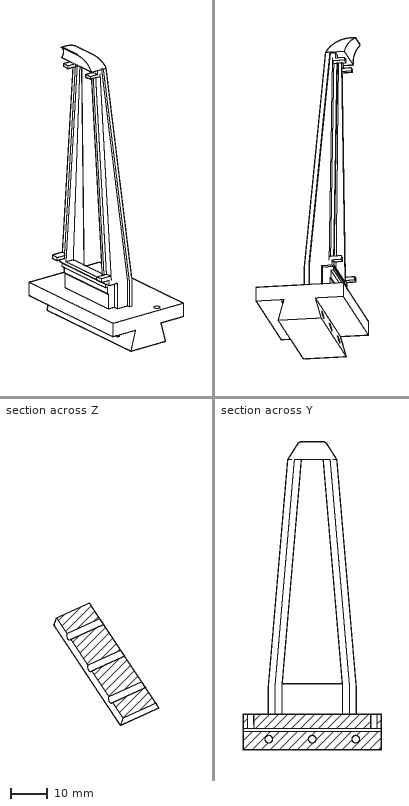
import cadquery as cq
import math

plate_length = 38.1
plate_depth = 24.4
plate_top = 9.8
dovetail_height = 5.85
dovetail_top_width = 8.8
dovetail_bottom_width = 12.0

cross_hole_diameter = 2.0
cross_hole_height = 3.0
cross_hole_pitch = 11.95
pin_hole_diameter = 1.7
pin_hole_x = 17.0
pin_hole_y = 4.6

foot_top = 17.4
arm_top = 79.9
lean_in = 5.3
lean_forward = 4.9
corner_lean_forward = 1.7

rib_outer_x = 12.1
rib_inner_x = 10.3
wall_outer_x = 11.3
wall_inner_x = 8.3
rib_back_y = 0.2
rib_depth = 1.4
rib_round = 1.0
shoulder_y = -4.75
corner_y = -5.1
arm_front_y = -7.6

rabbet_depth = 0.85
lip_width = 0.85
lower_pin_bottom = 18.9
upper_pin_top = 78.35
pin_thickness = 0.9
pin_tip_y = -10.2

panel_half_width = 9.8
panel_front_y = -6.8
band_front_y = -7.0
band_bottom = 14.25
ledge_front_y = -7.8
ledge_bottom = 16.4
sill_height = 0.85

cap_top = 84.8
cap_bottom_half_width = rib_outer_x - lean_in
cap_top_half_width = 3.65
cap_crest_y = -11.45
cap_tip_y = -12.7
cap_front_y = -10.3
tip_thickness = 0.25


def box_between(x_range, y_range, z_range):
    """Axis-aligned block given by its two limits along each axis."""
    size = [high - low for low, high in (x_range, y_range, z_range)]
    corner = (x_range[0], y_range[0], z_range[0])
    return cq.Workplane("XY").box(*size, centered=False).translate(corner)


def extrude_along_y(points, y_front, y_back):
    """Extrude an outline of (x, z) points from y_front to y_back."""
    plane = cq.Workplane("XZ", origin=(0, y_back, 0))
    return plane.polyline(points).close().extrude(y_back - y_front)


def make_base():
    plate = box_between(
        (-plate_length / 2, plate_length / 2),
        (-plate_depth / 2, plate_depth / 2),
        (dovetail_height, plate_top),
    )
    dovetail = (
        cq.Workplane("YZ", origin=(-plate_length / 2, 0, 0))
        .polyline([
            (-dovetail_bottom_width / 2, 0),
            (dovetail_bottom_width / 2, 0),
            (dovetail_top_width / 2, dovetail_height),
            (-dovetail_top_width / 2, dovetail_height),
        ])
        .close()
        .extrude(plate_length)
    )
    cross_holes = (
        cq.Workplane("XZ", origin=(0, plate_depth / 2, 0))
        .pushPoints([(i * cross_hole_pitch, cross_hole_height) for i in (-1, 0, 1)])
        .circle(cross_hole_diameter / 2)
        .extrude(plate_depth)
    )
    pin_holes = (
        cq.Workplane("XY", origin=(0, 0, dovetail_height))
        .pushPoints([(-pin_hole_x, pin_hole_y), (pin_hole_x, pin_hole_y)])
        .circle(pin_hole_diameter / 2)
        .extrude(plate_top - dovetail_height)
    )
    return plate.union(dovetail).cut(cross_holes).cut(pin_holes)


def arm_section(sketch, front_y, x_shift=0, rib_shift=0, corner_shift=0):
    """Arm outline on the +X side: a back rib rounded at its outer edge and a wall to front_y.

    The corner on the inner wall is left out when the wall stops at that corner.
    """
    back_y = rib_back_y - rib_shift
    rib_front_y = back_y - rib_depth
    outer_x = rib_outer_x - x_shift
    inner_x = wall_inner_x - x_shift
    round_x = outer_x - rib_round
    round_y = back_y - rib_round
    round_mid = rib_round * math.sqrt(0.5)
    outline = (
        sketch.moveTo(rib_inner_x - x_shift, back_y)
        .lineTo(round_x, back_y)
        .threePointArc((round_x + round_mid, round_y + round_mid), (outer_x, round_y))
        .lineTo(outer_x, rib_front_y)
        .lineTo(wall_outer_x - x_shift, rib_front_y)
        .lineTo(wall_outer_x - x_shift, front_y)
        .lineTo(inner_x, front_y)
    )
    if front_y < corner_y:
        outline = outline.lineTo(inner_x, corner_y - corner_shift)
    return outline.close()


def inward_lean(z):
    """Inward shift of the arm at height z."""
    return lean_in * (z - foot_top) / (arm_top - foot_top)


def rabbet_end(z_inner):
    """Inner and outer (x, z) ends of a rabbet shoulder square to the arm."""
    shift = inward_lean(z_inner)
    inner_x = wall_inner_x + lip_width - shift
    outer_x = wall_outer_x - shift
    rise = (outer_x - inner_x) * lean_in / (arm_top - foot_top)
    return (inner_x, z_inner), (outer_x, z_inner + rise)


def make_arm():
    foot_plane = cq.Workplane("XY", origin=(0, 0, plate_top))
    foot = arm_section(foot_plane, corner_y).extrude(foot_top - plate_top)
    foot = foot.cut(
        box_between((panel_half_width, wall_outer_x), (corner_y, shoulder_y), (plate_top, foot_top))
    )

    bottom_section = arm_section(cq.Workplane("XY", origin=(0, 0, foot_top)), arm_front_y)
    top_plane = bottom_section.workplane(offset=arm_top - foot_top)
    sections = arm_section(top_plane, arm_front_y, lean_in, lean_forward, corner_lean_forward)
    arm = sections.loft(ruled=True)

    low_inner, low_outer = rabbet_end(lower_pin_bottom + pin_thickness)
    high_inner, high_outer = rabbet_end(upper_pin_top - pin_thickness)
    floor_y = arm_front_y + rabbet_depth
    rabbet = extrude_along_y([low_inner, low_outer, high_outer, high_inner], arm_front_y, floor_y)
    arm = arm.cut(rabbet)

    for (inner, outer), flat_z in (
        ((low_inner, low_outer), lower_pin_bottom),
        ((high_inner, high_outer), upper_pin_top),
    ):
        shift = inward_lean(flat_z)
        flat_outer = (wall_outer_x - shift, flat_z)
        flat_inner = (wall_inner_x + lip_width - shift, flat_z)
        outline = [inner, outer, flat_outer, flat_inner]
        arm = arm.union(extrude_along_y(outline, pin_tip_y, floor_y))
    return foot.union(arm)


def make_panel():
    panel = None
    for front_y, bottom in (
        (panel_front_y, plate_top),
        (band_front_y, band_bottom),
        (ledge_front_y, ledge_bottom),
    ):
        step = box_between(
            (-panel_half_width, panel_half_width), (front_y, corner_y), (bottom, foot_top)
        )
        panel = step if panel is None else panel.union(step)
    sill = box_between(
        (-wall_inner_x, wall_inner_x),
        (arm_front_y, corner_y),
        (foot_top, foot_top + sill_height),
    )
    return panel.union(sill)


def make_cap():
    back_y = rib_back_y - lean_forward
    rise = cap_top - arm_top
    run = back_y - cap_crest_y
    back_radius = (run**2 + rise**2) / (2 * rise)
    half_angle = math.atan2(rise, run)
    back_mid = (
        cap_crest_y + back_radius * math.sin(half_angle),
        cap_top - back_radius * (1 - math.cos(half_angle)),
    )
    tip_bottom = cap_top - tip_thickness
    front_run = cap_front_y - cap_tip_y
    front_rise = tip_bottom - arm_top
    front_radius = (front_run**2 + front_rise**2) / (2 * front_run)
    front_angle = math.atan2(front_run, front_rise)
    front_mid = (
        cap_front_y - front_radius * (1 - math.cos(front_angle)),
        arm_top + front_radius * math.sin(front_angle),
    )
    side_plane = cq.Workplane("YZ", origin=(-cap_bottom_half_width, 0, 0))
    crown = (
        side_plane.moveTo(back_y, arm_top)
        .threePointArc(back_mid, (cap_crest_y, cap_top))
        .lineTo(cap_tip_y, cap_top)
        .lineTo(cap_tip_y, arm_top)
        .close()
        .extrude(2 * cap_bottom_half_width)
    )
    taper = extrude_along_y(
        [
            (-cap_bottom_half_width, arm_top),
            (cap_bottom_half_width, arm_top),
            (cap_top_half_width, cap_top),
            (-cap_top_half_width, cap_top),
        ],
        cap_tip_y,
        back_y,
    )
    crown_sides = crown.intersect(taper).faces("<X or >X").edges("not(<Z or <Y)")
    rounded = crown_sides.fillet(rib_round)
    hollow = (
        side_plane.moveTo(cap_front_y, arm_top)
        .threePointArc(front_mid, (cap_tip_y, tip_bottom))
        .lineTo(cap_tip_y, arm_top)
        .close()
        .extrude(2 * cap_bottom_half_width)
    )
    return rounded.cut(hollow)


arm = make_arm()
result = (
    make_base()
    .union(arm)
    .union(arm.mirror("YZ"))
    .union(make_panel())
    .union(make_cap())
)